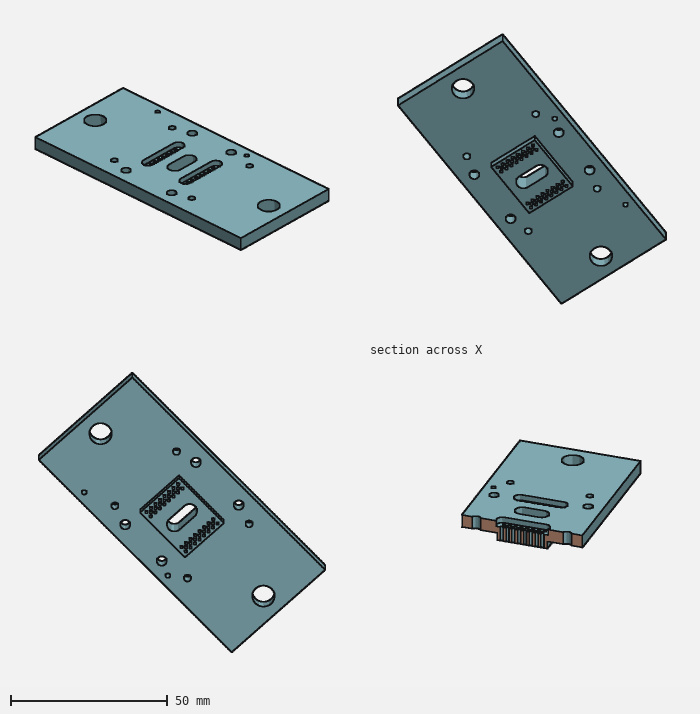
import cadquery as cq

plate_length = 90.0
plate_width = 41.0
plate_thickness = 4.5
overall_height = 7.1
block_length = 21.0
block_width = 17.1

mount_diameter = 7.1
mount_x = 38.0
screw_diameter = 2.25
screw_x = 16.9
screw_y = 13.5
dowel_diameter = 3.15
dowel_x = 10.0
offset_dowel_x = 7.0
dowel_y = 15.5
pilot_diameter = 1.5
pilot_left_x = -27.0
pilot_right_x = 12.0
pilot_y = 17.5

window_width = 4.8
window_length = 11.4

pocket_x = 8.2
pocket_width = 4.0
pocket_length = 18.1
pocket_depth = 2.0
pin_diameter = 0.88
pin_pitch = 2.0
outer_column_count = 8
middle_column_count = outer_column_count - 1


def make_body():
    plate = cq.Workplane("XY").box(
        plate_length, plate_width, plate_thickness, centered=(True, True, False)
    ).translate((0, 0, -plate_thickness))
    block = cq.Workplane("XY").box(
        block_length, block_width, overall_height, centered=(True, True, False)
    ).translate((0, 0, -overall_height))
    return plate.union(block)


def hole_cutters(points, diameter):
    """Cylinders reaching from the plate top through the full height."""
    return cq.Workplane("XY").pushPoints(points).circle(diameter / 2).extrude(-overall_height)


def slot_cutter(points, length, width, depth):
    """Round-ended slots running along Y, cut down from the plate top."""
    return cq.Workplane("XY").pushPoints(points).slot2D(length, width, 90).extrude(-depth)


def pin_points(center_x):
    """Two outer columns of pins with a shorter column staggered between them."""
    points = []
    for column, count in (
        (-1, outer_column_count),
        (0, middle_column_count),
        (1, outer_column_count),
    ):
        x = center_x + column * pin_pitch / 2
        for row in range(count):
            points.append((x, (row - (count - 1) / 2) * pin_pitch))
    return points


result = make_body()

mount_points = [(-mount_x, 0), (mount_x, 0)]
screw_points = [(x, y) for x in (-screw_x, screw_x) for y in (-screw_y, screw_y)]
dowel_points = [
    (-dowel_x, -dowel_y),
    (dowel_x, -dowel_y),
    (-dowel_x, dowel_y),
    (offset_dowel_x, dowel_y),
]
pilot_points = [(pilot_left_x, pilot_y), (pilot_right_x, pilot_y)]
for points, diameter in (
    (mount_points, mount_diameter),
    (screw_points, screw_diameter),
    (dowel_points, dowel_diameter),
    (pilot_points, pilot_diameter),
):
    result = result.cut(hole_cutters(points, diameter))

result = result.cut(slot_cutter([(0, 0)], window_length, window_width, overall_height))

pocket_points = [(-pocket_x, 0), (pocket_x, 0)]
result = result.cut(slot_cutter(pocket_points, pocket_length, pocket_width, pocket_depth))
for center_x, _ in pocket_points:
    result = result.cut(hole_cutters(pin_points(center_x), pin_diameter))